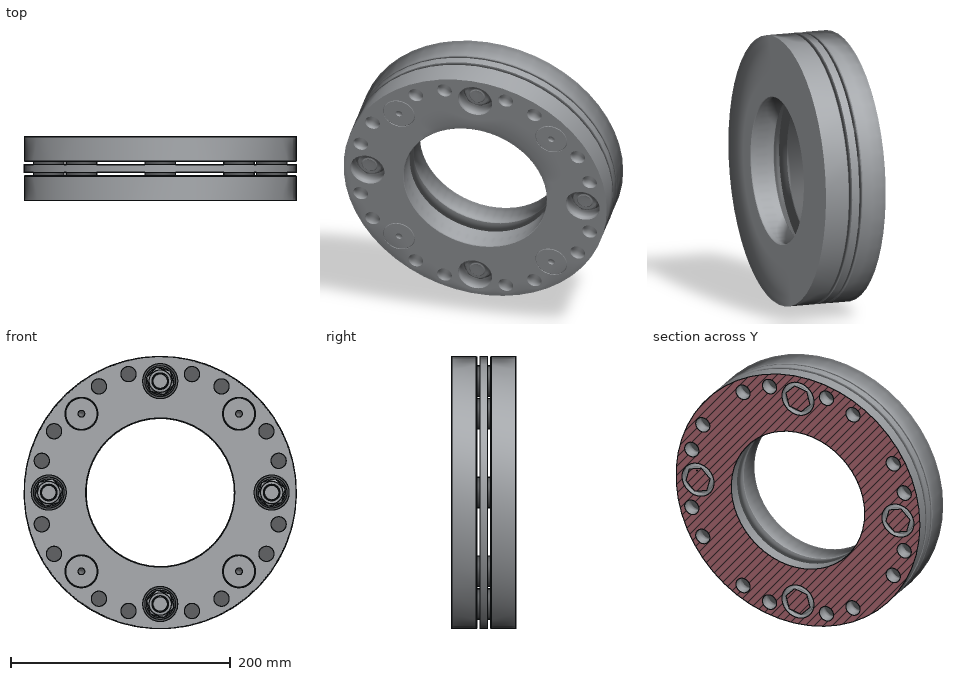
import cadquery as cq
import math

outer_diameter = 248.0
total_depth = 58.3
plate_thickness = 22.8
ring_thickness = 7.0
plate_bore = 135.0
ring_bore = 160.0
rim_chamfer = 0.7
bore_chamfer = 0.5

front_face = -total_depth / 2
front_plate_back = front_face + plate_thickness
back_plate_front = total_depth / 2 - plate_thickness

spacer_diameter = 28.0
spacer_circle_radius = 101.5
stud_angles = [0, 90, 180, 270]
plug_angles = [45, 135, 225, 315]

small_hole_diameter = 14.0
small_hole_circle_radius = 111.5
small_hole_offsets = [-30, -15, 15, 30]

pocket_diameter = 32.0
pocket_depth = 16.0
washer_diameter = spacer_diameter
washer_top_diameter = 25.0
washer_depth = 12.0
nut_across_corners = 25.8
nut_top_diameter = 20.3
nut_depth = 8.0
nut_turn = 15
stud_diameter = 15.5
stud_top_diameter = 13.1
stud_depth = 7.0
washer_and_nut_bevel = 30
stud_bevel = 45

groove_diameter = 30.0
plug_diameter = 29.5
plug_top_diameter = 28.5
plug_bevel = 45
groove_depth = 1.2
drill_diameter = 6.2
drill_depth = 5.0
drill_tip_angle = 118


def cylinder(diameter, start, end):
    """Cylinder about the Y axis from start to end."""
    base = cq.Vector(0, start, 0)
    return cq.Workplane(cq.Solid.makeCylinder(diameter / 2, end - start, base, cq.Vector(0, 1, 0)))


def bevelled_cylinder(diameter, top_diameter, bevel_angle, start, end):
    """Cylinder about the Y axis whose front rim slopes down to top_diameter."""
    bevel_depth = (diameter - top_diameter) / 2 * math.tan(math.radians(bevel_angle))
    profile = [
        (0, start),
        (top_diameter / 2, start),
        (diameter / 2, start + bevel_depth),
        (diameter / 2, end),
        (0, end),
    ]
    return cq.Workplane("XY").polyline(profile).close().revolve(360, (0, 0), (0, 1))


def place_around(shape, radius, angles):
    """Copies of a shape built on the Y axis, moved out in +X and turned to each angle from +X towards +Z."""
    moved = shape.translate((radius, 0, 0))
    copies = [moved.rotate((0, 0, 0), (0, 1, 0), -angle) for angle in angles]
    return cq.Workplane(cq.Compound.makeCompound([copy.val() for copy in copies]))


def make_front_plate():
    """Annular plate: both bore edges and the outer rim facing the gap are chamfered."""
    inner = plate_bore / 2
    outer = outer_diameter / 2
    profile = [
        (inner + bore_chamfer, front_face),
        (outer, front_face),
        (outer, front_plate_back - rim_chamfer),
        (outer - rim_chamfer, front_plate_back),
        (inner + bore_chamfer, front_plate_back),
        (inner, front_plate_back - bore_chamfer),
        (inner, front_face + bore_chamfer),
    ]
    return cq.Workplane("XY").polyline(profile).close().revolve(360, (0, 0), (0, 1))


def make_middle_ring():
    ring = cylinder(outer_diameter, -ring_thickness / 2, ring_thickness / 2)
    return ring.cut(cylinder(ring_bore, -ring_thickness / 2, ring_thickness / 2))


def make_stud_stack():
    """Washer, hexagon nut and stud end, standing on the pocket floor."""
    floor = front_face + pocket_depth
    nut_front = front_face + nut_depth
    washer = bevelled_cylinder(
        washer_diameter, washer_top_diameter, washer_and_nut_bevel, front_face + washer_depth, floor
    )
    floor_plane = cq.Workplane("XZ", origin=(0, floor, 0))
    hexagon = floor_plane.polygon(6, nut_across_corners).extrude(floor - nut_front)
    hexagon = hexagon.rotate((0, 0, 0), (0, 1, 0), -nut_turn)
    nut = hexagon.intersect(
        bevelled_cylinder(nut_across_corners, nut_top_diameter, washer_and_nut_bevel, nut_front, floor)
    )
    stud = bevelled_cylinder(stud_diameter, stud_top_diameter, stud_bevel, front_face + stud_depth, floor)
    return washer.union(nut).union(stud)


def make_plug_groove():
    groove_floor = front_face + groove_depth
    plug = bevelled_cylinder(plug_diameter, plug_top_diameter, plug_bevel, front_face, groove_floor)
    return cylinder(groove_diameter, front_face, groove_floor).cut(plug)


def make_drill_hole():
    """Blind hole with the conical bottom of a drill."""
    drill_radius = drill_diameter / 2
    tip_length = drill_radius / math.tan(math.radians(drill_tip_angle / 2))
    profile = [
        (0, front_face),
        (drill_radius, front_face),
        (drill_radius, front_face + drill_depth),
        (0, front_face + drill_depth + tip_length),
    ]
    return cq.Workplane("XY").polyline(profile).close().revolve(360, (0, 0), (0, 1))


front_plate = make_front_plate()
back_plate = front_plate.mirror("XZ")

small_hole = cylinder(small_hole_diameter, front_face, front_plate_back)
small_hole_angles = [stud + offset for stud in stud_angles for offset in small_hole_offsets]
front_plate = front_plate.cut(place_around(small_hole, small_hole_circle_radius, small_hole_angles))

pocket = cylinder(pocket_diameter, front_face, front_face + pocket_depth)
front_plate = front_plate.cut(place_around(pocket, spacer_circle_radius, stud_angles))
front_plate = front_plate.union(place_around(make_stud_stack(), spacer_circle_radius, stud_angles))

for plug_cut in (make_plug_groove(), make_drill_hole()):
    front_plate = front_plate.cut(place_around(plug_cut, spacer_circle_radius, plug_angles))

spacer = cylinder(spacer_diameter, front_plate_back, back_plate_front)
spacers = place_around(spacer, spacer_circle_radius, stud_angles + plug_angles)

result = front_plate.union(make_middle_ring()).union(back_plate).union(spacers)